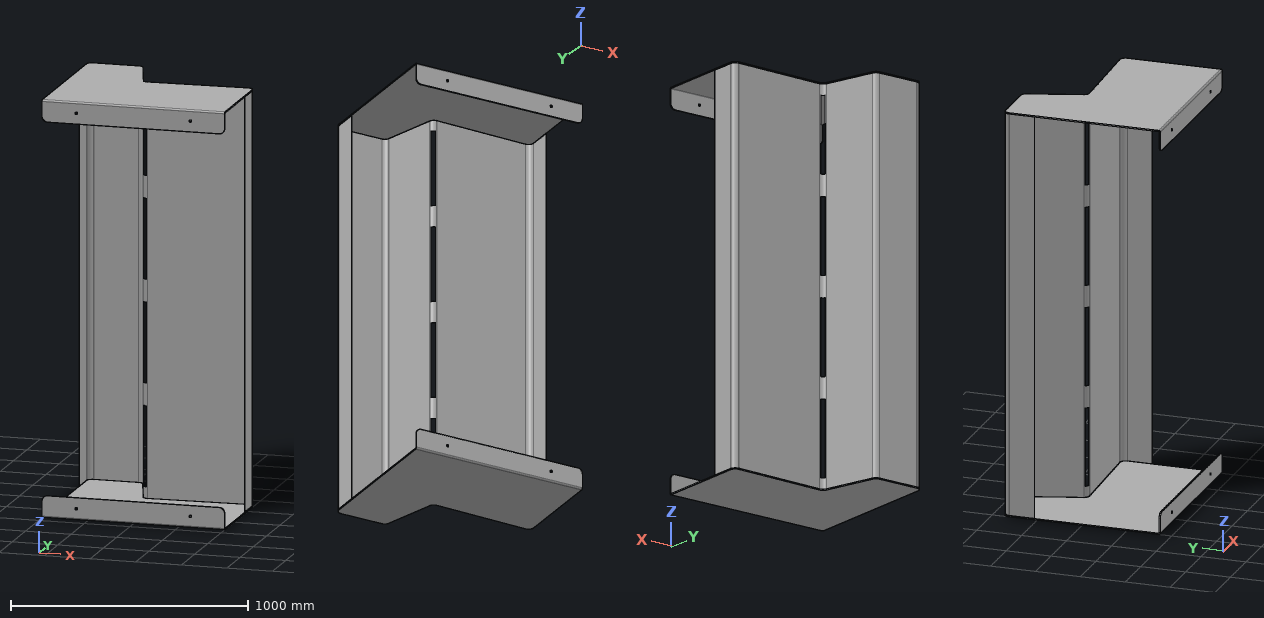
import cadquery as cq
import math

WIDTH = 800.0
DEPTH = 700.0
HEIGHT = 1812.0

PLATE_THICKNESS = 6.0
SHEET_THICKNESS = 2.0
BEND_OUTER = 25.0
BEND_INNER = BEND_OUTER - SHEET_THICKNESS

EDGE_FLANGE = 138.0
BACK_TOP_END = 241.0
SEAT_REAR_X = 320.0
SEAT_REAR_Y = 433.0
SEAT_FRONT_Y = 450.0

SLOT_COUNT = 4
SLOT_LENGTH = 350.0
SLOT_WIDTH = 18.0

FOOT_HEIGHT = 96.0
FOOT_BEND_OUTER = 7.0
FOOT_BEND_INNER = FOOT_BEND_OUTER - PLATE_THICKNESS
FOOT_CORNER_RADIUS = 24.0
FOOT_HOLE_DIAMETER = 10.0
FOOT_HOLE_SPACING = 500.0
FOOT_HOLE_INSET = 49.0

SHEET_LENGTH = HEIGHT - 2 * PLATE_THICKNESS
SLOT_PITCH = SHEET_LENGTH / SLOT_COUNT

SHEET_LINE = [
    (0, DEPTH - EDGE_FLANGE),
    (0, DEPTH),
    (BACK_TOP_END, DEPTH),
    (SEAT_REAR_X, SEAT_REAR_Y),
    (WIDTH, SEAT_FRONT_Y),
    (WIDTH, SEAT_FRONT_Y - EDGE_FLANGE),
]
SEAT_REAR_CORNER = 3


def unit(start, end):
    """Unit vector from start to end."""
    length = math.dist(start, end)
    return (end[0] - start[0]) / length, (end[1] - start[1]) / length


def inward_offset(line, distance):
    """Copy of an open line moved to its right-hand side, with mitred corners."""
    directions = [unit(a, b) for a, b in zip(line, line[1:])]
    before = directions[:1] + directions
    after = directions + directions[-1:]
    moved = []
    for (x, y), (ux, uy), (vx, vy) in zip(line, before, after):
        mitre = distance / (1 + ux * vx + uy * vy)
        moved.append((x + (uy + vy) * mitre, y - (ux + vx) * mitre))
    return moved


def round_upright_edge(body, point, radius):
    """Fillet the edge parallel to Z that stands at the given XY point."""
    edge = body.edges("|Z").edges(cq.selectors.NearestToPointSelector((*point, HEIGHT / 2)))
    return edge.fillet(radius)


def slot_cutter():
    """Block centred on the seat bend, lined up with the bisector of the bend angle."""
    corner = SHEET_LINE[SEAT_REAR_CORNER]
    back_x, back_y = unit(corner, SHEET_LINE[SEAT_REAR_CORNER - 1])
    seat_x, seat_y = unit(corner, SHEET_LINE[SEAT_REAR_CORNER + 1])
    bisector_angle = math.degrees(math.atan2(back_y + seat_y, back_x + seat_x))
    block = cq.Workplane("XY").box(2 * BEND_OUTER, SLOT_WIDTH, SLOT_LENGTH, centered=(True, True, False))
    return block.rotate((0, 0, 0), (0, 0, 1), bisector_angle).translate((*corner, 0))


def make_bench_sheet():
    """Folded sheet that forms backrest and seat, standing between the end plates."""
    inner_line = inward_offset(SHEET_LINE, SHEET_THICKNESS)
    outline = SHEET_LINE + inner_line[::-1]
    plate_top = cq.Workplane("XY").workplane(offset=PLATE_THICKNESS)
    sheet = plate_top.polyline(outline).close().extrude(SHEET_LENGTH)
    for corner in range(1, len(SHEET_LINE) - 1):
        outer_radius, inner_radius = BEND_OUTER, BEND_INNER
        if corner == SEAT_REAR_CORNER:
            outer_radius, inner_radius = BEND_INNER, BEND_OUTER
        sheet = round_upright_edge(sheet, SHEET_LINE[corner], outer_radius)
        sheet = round_upright_edge(sheet, inner_line[corner], inner_radius)
    for slot in range(SLOT_COUNT):
        base = PLATE_THICKNESS + slot * SLOT_PITCH + (SLOT_PITCH - SLOT_LENGTH) / 2
        sheet = sheet.cut(slot_cutter().translate((0, 0, base)))
    return sheet


def make_lower_end_plate():
    """End plate at Z = 0 with its foot flange turned up along Y = 0."""
    outline = [(0, 0), *SHEET_LINE[1:-1], (WIDTH, 0)]
    plate = cq.Workplane("XY").polyline(outline).close().extrude(PLATE_THICKNESS)
    for corner in range(1, len(SHEET_LINE) - 1):
        radius = BEND_INNER if corner == SEAT_REAR_CORNER else BEND_OUTER
        plate = round_upright_edge(plate, SHEET_LINE[corner], radius)

    foot = cq.Workplane("XY").box(WIDTH, PLATE_THICKNESS, FOOT_HEIGHT, centered=False)
    foot = foot.edges("|Y and >Z").fillet(FOOT_CORNER_RADIUS)
    plate = plate.union(foot)
    plate = plate.edges("|X and <Y and <Z").fillet(FOOT_BEND_OUTER)
    inner_edge = cq.selectors.NearestToPointSelector((WIDTH / 2, PLATE_THICKNESS, PLATE_THICKNESS))
    plate = plate.edges("|X").edges(inner_edge).fillet(FOOT_BEND_INNER)

    for side in (-1, 1):
        hole = (
            cq.Workplane("XZ")
            .center(WIDTH / 2 + side * FOOT_HOLE_SPACING / 2, FOOT_HOLE_INSET)
            .circle(FOOT_HOLE_DIAMETER / 2)
            .extrude(-PLATE_THICKNESS)
        )
        plate = plate.cut(hole)
    return plate


bench_sheet = make_bench_sheet()
lower_end_plate = make_lower_end_plate()
upper_end_plate = lower_end_plate.mirror("XY").translate((0, 0, HEIGHT))

result = cq.Compound.makeCompound([bench_sheet.val(), lower_end_plate.val(), upper_end_plate.val()])